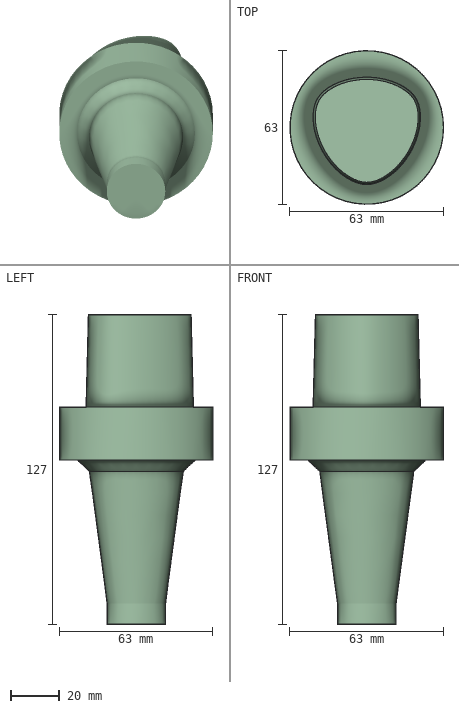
import cadquery as cq
import math

total_height = 127.0
tip_height = 8.4
cone_height = 54.4
collar_height = 4.6
flange_height = 21.7
shank_height = total_height - tip_height - cone_height - collar_height - flange_height

tip_radius = 24.0 / 2
cone_top_radius = 19.3
collar_radius = 24.1
flange_radius = 63.0 / 2

shank_base_width = 44.1
shank_taper = 1 / 20
lobe_height = 1.4
lobes = 3
lobe_direction = -math.pi / 2
curve_points = 48


def round_body():
    """Tip, cone, collar and flange as one turned profile about Z."""
    cone_top = tip_height + cone_height
    flange_bottom = cone_top + collar_height
    flange_top = flange_bottom + flange_height
    profile = [
        (0, 0),
        (tip_radius, 0),
        (tip_radius, tip_height),
        (cone_top_radius, cone_top),
        (collar_radius, flange_bottom),
        (flange_radius, flange_bottom),
        (flange_radius, flange_top),
        (0, flange_top),
    ]
    return cq.Workplane("XZ").polyline(profile).close().revolve(360, (0, 0), (0, 1))


def lobed_points(width):
    """Points on the constant-width curve whose tangent distance is r + e * cos(3a)."""
    points = []
    for i in range(curve_points):
        turn = 2 * math.pi * i / curve_points
        angle = turn + lobe_direction
        distance = width / 2 + lobe_height * math.cos(lobes * turn)
        slope = -lobes * lobe_height * math.sin(lobes * turn)
        x = distance * math.cos(angle) - slope * math.sin(angle)
        y = distance * math.sin(angle) + slope * math.cos(angle)
        points.append((x, y))
    return points


def shank():
    """Tapered three-lobed shank standing on the flange."""
    top_width = shank_base_width - shank_taper * shank_height
    return (
        cq.Workplane("XY", origin=(0, 0, total_height - shank_height))
        .spline(lobed_points(shank_base_width), periodic=True).close()
        .workplane(offset=shank_height)
        .spline(lobed_points(top_width), periodic=True).close()
        .loft(ruled=True)
    )


result = round_body().union(shank())